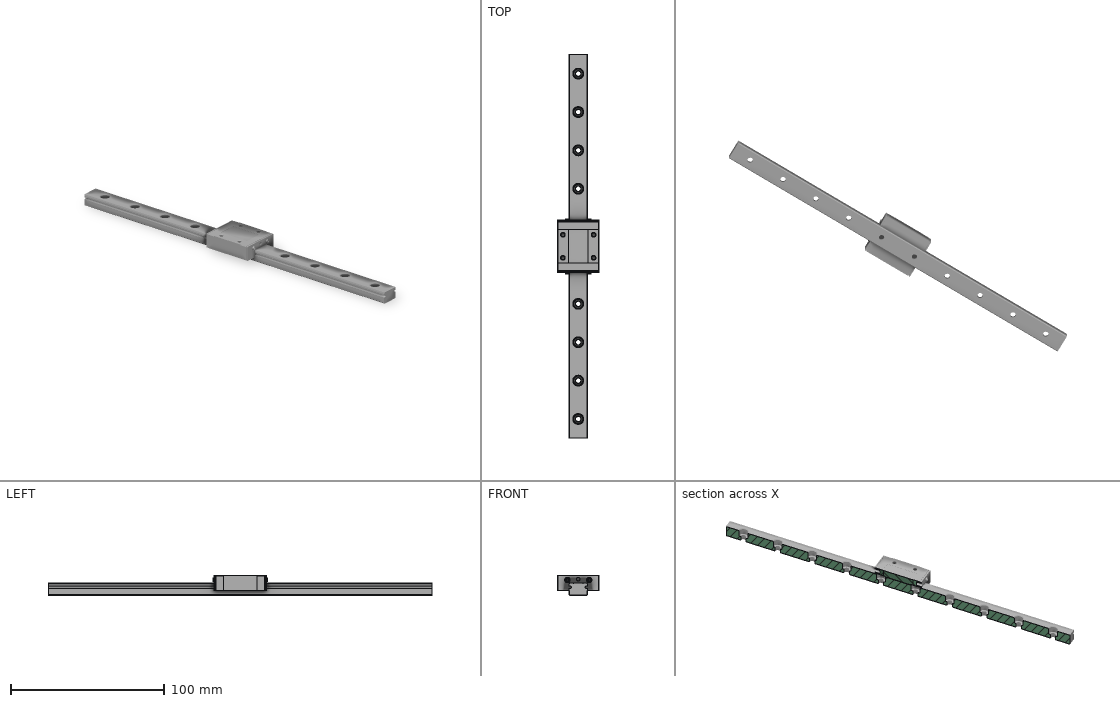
import cadquery as cq

RAIL_LENGTH = 250.0
RAIL_WIDTH = 12.0
RAIL_HEIGHT = 8.0
RAIL_BASE_CHAMFER = 0.5
RAIL_TOP_CHAMFER_X = 0.2
RAIL_TOP_CHAMFER_Z = 1.0
GROOVE_BOTTOM = 4.5
GROOVE_TOP = 6.0
GROOVE_DEPTH = 1.5

MOUNT_COUNT = 10
MOUNT_PITCH = RAIL_LENGTH / MOUNT_COUNT
MOUNT_DIAMETER = 3.5
MOUNT_BORE_DIAMETER = 6.0
MOUNT_BORE_DEPTH = 4.5
MOUNT_CHAMFER = 0.5

CARRIAGE_WIDTH = 27.0
CARRIAGE_TOP = 13.0
CARRIAGE_BOTTOM = 3.0
BLOCK_LENGTH = 21.8
CAP_LENGTH = 5.5
SEAL_THICKNESS = 0.8
CAP_END = BLOCK_LENGTH / 2 + CAP_LENGTH
SEAL_END = CAP_END + SEAL_THICKNESS

END_CHAMFER_X = 0.2
END_CHAMFER_Z = 0.5

NECK_LENGTH = 0.5
NECK_INSET = 0.2

RECESS_WIDTH = 13.0
RECESS_DEPTH = 0.12

TAP_DIAMETER = 2.5
TAP_MOUTH_DIAMETER = 3.0
TAP_COUNTERSINK_DEPTH = 0.2
TAP_DEPTH = 3.5
TAP_POINT_DEPTH = 0.8
TAP_SPACING_X = 20.0
TAP_SPACING_Y = 15.0

SPOTFACE_DIAMETER = 3.5
SPOTFACE_DEPTH = 0.2
HEAD_DIAMETER = 2.3
HEAD_HEIGHT = 0.8
HEAD_SPACING = 14.2
HEAD_Z = 10.0
SOCKET_ACROSS_CORNERS = 1.5
SOCKET_DEPTH = 0.5

PORT_DIAMETER = 2.3
PORT_Z = 10.5
PORT_DEPTH = 3.8


def rail_bar():
    """The plain rail without its holes, standing on Z = 0 and centred on X and Y."""
    half = RAIL_WIDTH / 2
    bar = (
        cq.Workplane("XZ")
        .moveTo(0, 0)
        .lineTo(half - RAIL_BASE_CHAMFER, 0)
        .lineTo(half, RAIL_BASE_CHAMFER)
        .lineTo(half, RAIL_HEIGHT - RAIL_TOP_CHAMFER_Z)
        .lineTo(half - RAIL_TOP_CHAMFER_X, RAIL_HEIGHT)
        .lineTo(0, RAIL_HEIGHT)
        .mirrorY()
        .extrude(RAIL_LENGTH / 2, both=True)
    )
    groove_z = (GROOVE_BOTTOM + GROOVE_TOP) / 2
    groove_width = GROOVE_TOP - GROOVE_BOTTOM
    grooves = (
        cq.Workplane("XZ")
        .pushPoints([(-half, groove_z), (half, groove_z)])
        .slot2D(2 * GROOVE_DEPTH, groove_width)
        .extrude(RAIL_LENGTH / 2, both=True)
    )
    return bar.cut(grooves)


def make_rail():
    """Rail with its row of counterbored, chamfered mounting holes."""
    first_y = -(MOUNT_COUNT - 1) / 2 * MOUNT_PITCH
    mounts = [(0, first_y + i * MOUNT_PITCH) for i in range(MOUNT_COUNT)]
    drilled = (
        rail_bar()
        .faces(">Z")
        .workplane(origin=(0, 0, RAIL_HEIGHT))
        .pushPoints(mounts)
        .cboreHole(MOUNT_DIAMETER, MOUNT_BORE_DIAMETER, MOUNT_BORE_DEPTH)
    )
    return drilled.faces(">Z").edges("%CIRCLE").chamfer(MOUNT_CHAMFER)


def end_slice(y_start, length, inset=0):
    """Slice of the carriage with its two upper side edges chamfered; inset shrinks its outline all round."""
    half = CARRIAGE_WIDTH / 2 - inset
    bottom = CARRIAGE_BOTTOM + inset
    top = CARRIAGE_TOP - inset
    outline = (
        cq.Workplane("XZ", origin=(0, y_start, 0))
        .moveTo(0, bottom)
        .lineTo(half, bottom)
        .lineTo(half, top - END_CHAMFER_Z)
        .lineTo(half - END_CHAMFER_X, top)
        .lineTo(0, top)
        .mirrorY()
    )
    return outline.extrude(-length).cut(rail_bar())


def tap_hole():
    """Countersunk hole with a conical bottom, its mouth centred on the origin and pointing up."""
    radius = TAP_DIAMETER / 2
    return (
        cq.Workplane("XZ")
        .lineTo(TAP_MOUTH_DIAMETER / 2, 0)
        .lineTo(radius, -TAP_COUNTERSINK_DEPTH)
        .lineTo(radius, -TAP_DEPTH)
        .lineTo(0, -TAP_DEPTH - TAP_POINT_DEPTH)
        .close()
        .revolve(360, (0, 0, 0), (0, 1, 0))
    )


def make_block():
    """Steel block cut out to fit over the rail, with its top recess and tapped holes."""
    height = CARRIAGE_TOP - CARRIAGE_BOTTOM
    box = cq.Workplane("XY").box(CARRIAGE_WIDTH, BLOCK_LENGTH, height, centered=(True, True, False))
    block = box.translate((0, 0, CARRIAGE_BOTTOM)).cut(rail_bar())
    top = cq.Workplane("XY", origin=(0, 0, CARRIAGE_TOP))
    block = block.cut(top.rect(RECESS_WIDTH, BLOCK_LENGTH).extrude(-RECESS_DEPTH))
    for x in (-TAP_SPACING_X / 2, TAP_SPACING_X / 2):
        for y in (-TAP_SPACING_Y / 2, TAP_SPACING_Y / 2):
            block = block.cut(tap_hole().translate((x, y, CARRIAGE_TOP)))
    return block


def lubrication_port():
    """Drill for the port, entering the outer face of the -Y seal."""
    mouth = cq.Workplane("XZ", origin=(0, -SEAL_END, PORT_Z))
    return mouth.circle(PORT_DIAMETER / 2).extrude(-PORT_DEPTH)


def make_cap():
    """End cap on the -Y end of the block, stepped in where it meets its seal."""
    body_length = CAP_LENGTH - NECK_LENGTH
    body = end_slice(-CAP_END + NECK_LENGTH, body_length)
    neck = end_slice(-CAP_END, NECK_LENGTH, NECK_INSET)
    return body.union(neck).cut(lubrication_port())


def make_seal():
    """End seal on the outer face of the -Y cap, with its two screw heads."""
    seal = end_slice(-SEAL_END, SEAL_THICKNESS).cut(lubrication_port())
    for x in (-HEAD_SPACING / 2, HEAD_SPACING / 2):
        face = cq.Workplane("XZ", origin=(x, -SEAL_END, HEAD_Z))
        spotface = face.circle(SPOTFACE_DIAMETER / 2).extrude(-SPOTFACE_DEPTH)
        seat = face.workplane(offset=-SPOTFACE_DEPTH)
        head = seat.circle(HEAD_DIAMETER / 2).extrude(SPOTFACE_DEPTH + HEAD_HEIGHT)
        socket = face.workplane(offset=HEAD_HEIGHT).polygon(6, SOCKET_ACROSS_CORNERS).extrude(-SOCKET_DEPTH)
        seal = seal.cut(spotface).union(head).cut(socket)
    return seal


rail = make_rail()
block = make_block()

caps = []
seals = []
for angle in (0, 180):
    caps.append(make_cap().rotate((0, 0, 0), (0, 0, 1), angle))
    seals.append(make_seal().rotate((0, 0, 0), (0, 0, 1), angle))

end_parts = [part.val() for part in caps + seals]
result = cq.Compound.makeCompound([rail.val(), block.val(), *end_parts])